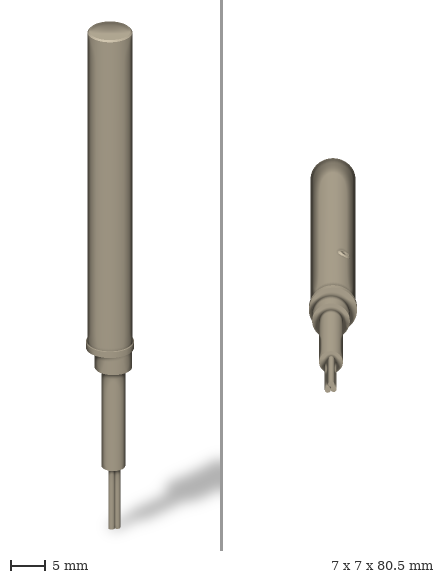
import cadquery as cq

total_length = 80.5
wire_length = 10.0
cable_length = 16.1
gland_length = 3.0
flange_thickness = 1.0

body_diameter = 6.5
flange_diameter = 7.0
face_diameter = 6.0
rim_chamfer = (body_diameter - face_diameter) / 2

cable_offset = 0.6
gland_diameter = 5.5
cable_diameter = 3.5

wire_diameter = 0.9
wire_side_offset = 0.52
wire_back_y = 0.25
wire_front_y = -0.44
wire_positions = [
    (cable_offset - wire_side_offset, wire_back_y),
    (cable_offset + wire_side_offset, wire_back_y),
    (cable_offset, wire_front_y),
]

indicator_height = 43.8
indicator_diameter = 2.0
indicator_shoulder_diameter = 1.5
indicator_bore = 1.0
indicator_reach = 3.5
indicator_bore_depth = 0.4
indicator_chamfer = (indicator_diameter - indicator_shoulder_diameter) / 2

cable_bottom = wire_length
gland_bottom = cable_bottom + cable_length
flange_bottom = gland_bottom + gland_length
flange_top = flange_bottom + flange_thickness


def upright_cylinder(diameter, bottom, top, x=0.0, y=0.0):
    """Cylinder parallel to Z between two heights."""
    return cq.Workplane("XY", origin=(x, y, bottom)).circle(diameter / 2).extrude(top - bottom)


def make_housing():
    """Chamfered barrel with its end flange."""
    barrel = upright_cylinder(body_diameter, flange_bottom, total_length)
    barrel = barrel.faces(">Z").chamfer(rim_chamfer)
    return barrel.union(upright_cylinder(flange_diameter, flange_bottom, flange_top))


def make_cable():
    """Gland, cable jacket and the bare wires."""
    cable = upright_cylinder(gland_diameter, gland_bottom, flange_bottom, cable_offset)
    cable = cable.union(upright_cylinder(cable_diameter, cable_bottom, gland_bottom, cable_offset))
    for wire_x, wire_y in wire_positions:
        cable = cable.union(upright_cylinder(wire_diameter, 0, cable_bottom, wire_x, wire_y))
    return cable


def side_cylinder(diameter, length):
    """Cylinder running inwards along +X from the indicator's outer face."""
    plane = cq.Workplane("YZ", origin=(-indicator_reach, 0, indicator_height))
    return plane.circle(diameter / 2).extrude(length)


def add_indicator(part):
    """Chamfered round boss with a shallow central bore."""
    boss = side_cylinder(indicator_diameter, indicator_reach)
    boss = boss.faces("<X").chamfer(indicator_chamfer)
    return part.union(boss).cut(side_cylinder(indicator_bore, indicator_bore_depth))


result = add_indicator(make_housing().union(make_cable()))